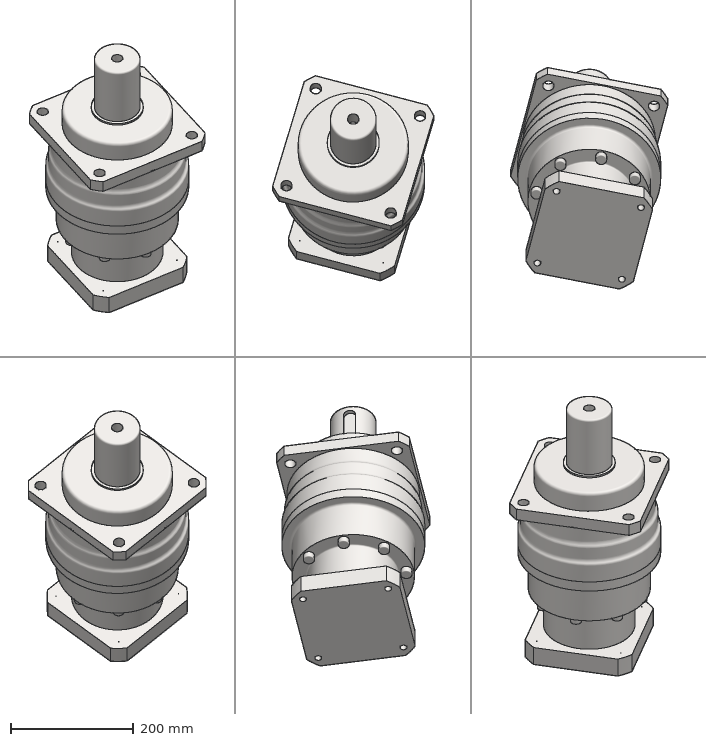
import cadquery as cq
import math

total_height = 455.0
shaft_length = 105.0
collar_height = 3.0
pilot_height = 34.0
flange_thickness = 21.0
plate_thickness = 33.0
neck_top = 105.0
drum_top = 174.3
joint_level = 192.0
disc_corner_level = 223.0
rib_corner_level = 254.5

collar_top = total_height - shaft_length
pilot_top = collar_top - collar_height
flange_top = pilot_top - pilot_height
flange_bottom = flange_top - flange_thickness

disc_radius = 117.0
rib_radius = 112.5
waist_radius = 108.5
pilot_radius = 90.0
shaft_diameter = 75.0
collar_diameter = 85.0
drum_radius = 100.0
neck_radius = 75.0
shaft_radius = shaft_diameter / 2
collar_radius = collar_diameter / 2

shaft_fillet = 3.0
pilot_fillet = 5.5
drum_fillet = 4.0
neck_fillet = 2.5
shoulder_height = 10.5
shoulder_hollow_share = 0.62

keyway_width = 20.0
keyway_depth = 7.5
keyway_length = 90.0
keyway_gap = 10.0
centre_hole_diameter = 18.0
centre_hole_depth = 36.5
drill_tip_angle = 118.0

flange_side = 220.0
flange_corner_diameter = 290.7
flange_hole_diameter = 18.0
flange_hole_spacing = 177.0
plate_side = 180.0
plate_corner_diameter = 229.5
plate_hole_diameter = 11.0
plate_hole_spacing = 141.5
plate_pinhole_diameter = 0.7

screw_count = 8
screw_circle_radius = 88.3
screw_head_diameter = 18.0
screw_head_height = 11.0
screw_head_fillet = 1.5


def cylinder(radius, bottom, top):
    return cq.Workplane("XY").workplane(offset=bottom).circle(radius).extrude(top - bottom)


def rounded_square(side, corner_diameter, bottom, thickness):
    """Square plate whose corners are trimmed by a circle around the axis."""
    square = cq.Workplane("XY").workplane(offset=bottom).rect(side, side).extrude(thickness)
    return square.intersect(cylinder(corner_diameter / 2, bottom, bottom + thickness))


def tip_height(diameter):
    """Height of the cone that a drill of this diameter leaves."""
    return diameter / 2 / math.tan(math.radians(drill_tip_angle / 2))


def add_shoulder(profile, outer_radius, inner_radius, outer_level):
    """Draw from the outer cylinder up to the inner one: a rounded edge flowing into a hollow curve."""
    sweep = 2 * math.atan((outer_radius - inner_radius) / shoulder_height)
    curve_sum = shoulder_height / math.sin(sweep)
    hollow_curve = shoulder_hollow_share * curve_sum
    edge_curve = curve_sum - hollow_curve
    top_level = outer_level + shoulder_height

    def edge_point(angle):
        return (outer_radius - edge_curve * (1 - math.cos(angle)), outer_level + edge_curve * math.sin(angle))

    def hollow_point(angle):
        return (inner_radius + hollow_curve * (1 - math.cos(angle)), top_level - hollow_curve * math.sin(angle))

    return (
        profile.lineTo(outer_radius, outer_level)
        .threePointArc(edge_point(sweep / 2), edge_point(sweep))
        .threePointArc(hollow_point(sweep / 2), (inner_radius, top_level))
    )


def output_turning():
    """Revolved upper half: disc, rib and waist joined by flowing shoulders."""
    profile = cq.Workplane("XZ").moveTo(0, joint_level).lineTo(disc_radius, joint_level)
    profile = add_shoulder(profile, disc_radius, rib_radius, disc_corner_level)
    profile = add_shoulder(profile, rib_radius, waist_radius, rib_corner_level)
    profile = profile.lineTo(waist_radius, flange_bottom).lineTo(0, flange_bottom).close()
    return profile.revolve(360, (0, 0), (0, 1))


def output_flange():
    """Square flange with four through holes near its corners."""
    flange = rounded_square(flange_side, flange_corner_diameter, flange_bottom, flange_thickness)
    return (
        flange.faces(">Z").workplane(origin=(0, 0, flange_top))
        .rect(flange_hole_spacing, flange_hole_spacing, forConstruction=True)
        .vertices().hole(flange_hole_diameter)
    )


def output_shaft():
    """Shaft with a round-ended keyway on its +Y side and a drilled hole in its end."""
    shaft = cylinder(shaft_radius, collar_top, total_height).faces(">Z").edges().fillet(shaft_fillet)
    keyway = (
        cq.Workplane("XZ", origin=(0, shaft_radius, total_height - keyway_gap - keyway_length / 2))
        .slot2D(keyway_length, keyway_width, 90).extrude(keyway_depth)
    )
    hole_floor = total_height - centre_hole_depth
    centre_hole = cylinder(centre_hole_diameter / 2, hole_floor, total_height)
    tip = cq.Workplane(cq.Solid.makeCone(
        centre_hole_diameter / 2, 0, tip_height(centre_hole_diameter),
        pnt=cq.Vector(0, 0, hole_floor), dir=cq.Vector(0, 0, -1),
    ))
    return shaft.cut(keyway).cut(centre_hole.union(tip))


def output_unit():
    pilot = cylinder(pilot_radius, flange_top, pilot_top).faces(">Z").edges().fillet(pilot_fillet)
    collar = cylinder(collar_radius, pilot_top, collar_top)
    return output_turning().union(output_flange()).union(pilot).union(collar).union(output_shaft())


def add_hollow_fillet(profile, radius, fillet, ceiling):
    """Draw up a cylinder side and curve outward into the flat ceiling above it."""
    middle = fillet * (1 - math.sqrt(0.5))
    return profile.lineTo(radius, ceiling - fillet).threePointArc(
        (radius + middle, ceiling - middle), (radius + fillet, ceiling)
    )


def input_turning():
    """Revolved lower half: neck, drum and disc, with a hollow fillet under each overhang."""
    profile = cq.Workplane("XZ").moveTo(0, plate_thickness).lineTo(neck_radius, plate_thickness)
    profile = add_hollow_fillet(profile, neck_radius, neck_fillet, neck_top)
    profile = profile.lineTo(drum_radius, neck_top)
    profile = add_hollow_fillet(profile, drum_radius, drum_fillet, drum_top)
    profile = profile.lineTo(disc_radius, drum_top).lineTo(disc_radius, joint_level)
    return profile.lineTo(0, joint_level).close().revolve(360, (0, 0), (0, 1))


def mounting_plate():
    """Square plate with holes drilled from below whose tips just break through the top."""
    plate = rounded_square(plate_side, plate_corner_diameter, 0, plate_thickness)
    tip = tip_height(plate_hole_diameter) - tip_height(plate_pinhole_diameter)
    tip_base = plate_thickness - tip
    drill_tip = cq.Workplane(cq.Solid.makeCone(
        plate_hole_diameter / 2, plate_pinhole_diameter / 2, tip, pnt=cq.Vector(0, 0, tip_base),
    ))
    drill = cylinder(plate_hole_diameter / 2, 0, tip_base).union(drill_tip)
    for x_side in (-1, 1):
        for y_side in (-1, 1):
            hole_place = (x_side * plate_hole_spacing / 2, y_side * plate_hole_spacing / 2, 0)
            plate = plate.cut(drill.translate(hole_place))
    return plate


def screw_heads():
    return (
        cq.Workplane("XY").workplane(offset=neck_top)
        .polarArray(screw_circle_radius, 0, 360, screw_count)
        .circle(screw_head_diameter / 2).extrude(-screw_head_height)
        .faces("<Z").edges().fillet(screw_head_fillet)
    )


def input_unit():
    return input_turning().union(mounting_plate()).union(screw_heads())


output_body = output_unit()
input_body = input_unit()

result = cq.Compound.makeCompound([output_body.val(), input_body.val()])